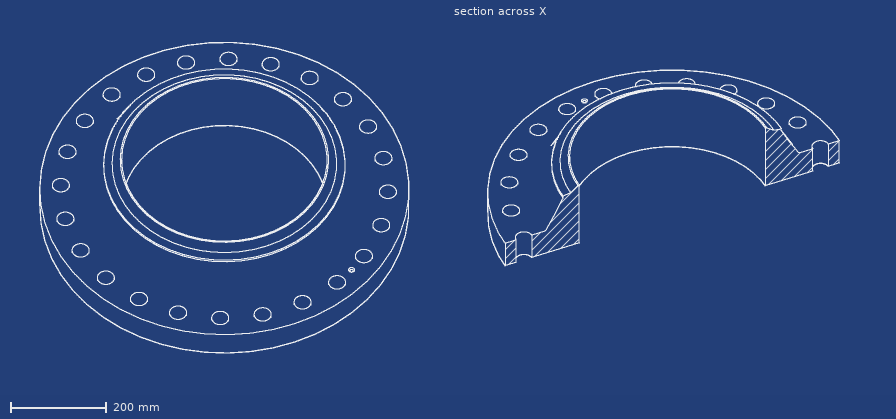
import cadquery as cq
import math

flange_radius = 387.0
flange_thickness = 63.5
bore_radius = 215.0
overall_height = 162.0

hub_base_radius = 293.5
hub_base_fillet = 5.0
hub_collar_radius = 253.0
hub_collar_bottom = 140.0
hub_collar_top = 145.5

bevel_foot_radius = 235.5
bevel_foot_height = 149.0
weld_land_radius = 218.5

bolt_count = 24
bolt_circle_radius = 343.0
bolt_hole_diameter = 36.0
bolt_pitch_angle = 360 / bolt_count

small_hole_diameter = 7.0
small_hole_countersink_diameter = 12.5
small_hole_countersink_angle = 90
small_hole_depth = 23.0
small_hole_angle = bolt_pitch_angle / 2


def make_body():
    """Revolve the half section of the flange, hub and weld end about Z."""
    section = (
        cq.Workplane("XZ")
        .moveTo(bore_radius, 0)
        .lineTo(flange_radius, 0)
        .lineTo(flange_radius, flange_thickness)
        .lineTo(hub_base_radius, flange_thickness)
        .lineTo(hub_collar_radius, hub_collar_bottom)
        .lineTo(hub_collar_radius, hub_collar_top)
        .lineTo(bevel_foot_radius, bevel_foot_height)
        .lineTo(weld_land_radius, overall_height)
        .lineTo(bore_radius, overall_height)
        .close()
    )
    return section.revolve(360, (0, 0, 0), (0, 1, 0))


def fillet_hub_base(body):
    """Round the inside corner where the hub meets the flange face."""
    corner_edges = [
        edge
        for edge in body.edges("%CIRCLE").vals()
        if math.isclose(edge.radius(), hub_base_radius)
    ]
    return body.newObject(corner_edges).fillet(hub_base_fillet)


def cut_bolt_holes(body):
    """Drill the evenly spaced bolt holes through the flange."""
    return (
        body.copyWorkplane(cq.Workplane("XY"))
        .polarArray(bolt_circle_radius, 0, 360, bolt_count)
        .circle(bolt_hole_diameter / 2)
        .cutBlind(flange_thickness)
    )


def cut_small_hole(body):
    """Drill the countersunk blind hole down from the flange's upper face."""
    angle = math.radians(small_hole_angle)
    return (
        body.copyWorkplane(cq.Workplane("XY", origin=(0, 0, flange_thickness)))
        .center(bolt_circle_radius * math.cos(angle), bolt_circle_radius * math.sin(angle))
        .cskHole(
            small_hole_diameter,
            small_hole_countersink_diameter,
            small_hole_countersink_angle,
            small_hole_depth,
        )
    )


result = cut_small_hole(cut_bolt_holes(fillet_hub_base(make_body())))